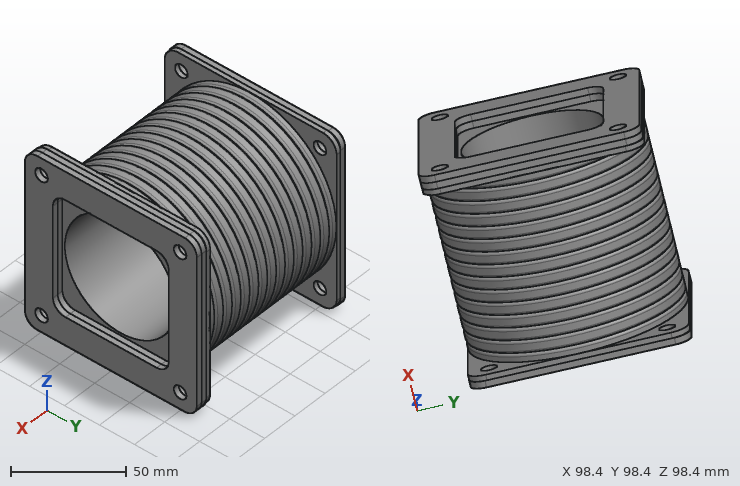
import cadquery as cq
import math

side = 98.4
plate_thickness = 3.15
plate_corner_radius = 7.1
window_side = 66.2
window_corner_radius = 7.1
flange_thickness = 2.6
flange_corner_radius = 8.0

bolt_hole_diameter = 7.2
bolt_hole_spacing = 79.3

bellows_diameter = 98.1
bore_diameter = 63.5
groove_count = 14
groove_end_margin = 3.8
shoulder_radius = 1.3

left_face = -side / 2
right_face = side / 2
bellows_start = left_face + plate_thickness
bellows_end = right_face - 2 * plate_thickness
first_groove = bellows_start + flange_thickness + groove_end_margin
last_groove = bellows_end - flange_thickness - groove_end_margin
groove_pitch = (last_groove - first_groove) / (groove_count - 1)
plate_starts = [left_face, bellows_end, bellows_end + plate_thickness]


def square_slab(start, thickness, width, corner_radius):
    """Square slab with rounded corners, from X = start towards +X."""
    return (
        cq.Workplane("YZ", origin=(start, 0, 0))
        .rect(width, width)
        .extrude(thickness)
        .edges("|X")
        .fillet(corner_radius)
    )


def drill_bolt_holes(body):
    """Cut the four bolt holes along the whole length of a body."""
    drills = (
        cq.Workplane("YZ", origin=(left_face, 0, 0))
        .rect(bolt_hole_spacing, bolt_hole_spacing, forConstruction=True)
        .vertices()
        .circle(bolt_hole_diameter / 2)
        .extrude(side)
    )
    return body.cut(drills)


def make_plate(start):
    """Plate with a square window and four bolt holes."""
    plate = square_slab(start, plate_thickness, side, plate_corner_radius)
    window = square_slab(start, plate_thickness, window_side, window_corner_radius)
    return drill_bolt_holes(plate.cut(window))


def make_ribbed_tube():
    """Solid of revolution about X with evenly spaced ring grooves."""
    outer_radius = bellows_diameter / 2
    cusp_radius = outer_radius - shoulder_radius
    arc_offset = shoulder_radius * math.sin(math.radians(45))
    arc_radius = cusp_radius + arc_offset

    profile = cq.Workplane("XY").moveTo(bellows_start, 0).lineTo(bellows_start, outer_radius)
    for index in range(groove_count):
        centre = first_groove + index * groove_pitch
        near_shoulder = centre - shoulder_radius
        far_shoulder = centre + shoulder_radius
        profile = (
            profile.lineTo(near_shoulder, outer_radius)
            .threePointArc((near_shoulder + arc_offset, arc_radius), (centre, cusp_radius))
            .threePointArc((far_shoulder - arc_offset, arc_radius), (far_shoulder, outer_radius))
        )
    profile = profile.lineTo(bellows_end, outer_radius).lineTo(bellows_end, 0).close()
    return profile.revolve(360, (0, 0, 0), (1, 0, 0))


def make_bellows():
    """Ribbed tube with a square flange at each end, bored through."""
    flange_starts = [bellows_start, bellows_end - flange_thickness]
    bore = cq.Workplane("YZ", origin=(left_face, 0, 0)).circle(bore_diameter / 2).extrude(side)
    body = make_ribbed_tube()
    for start in flange_starts:
        flange = square_slab(start, flange_thickness, side, flange_corner_radius)
        body = body.union(drill_bolt_holes(flange))
    return body.cut(bore)


bellows = make_bellows()
plates = [make_plate(start) for start in plate_starts]

result = cq.Compound.makeCompound([bellows.val(), *[plate.val() for plate in plates]])